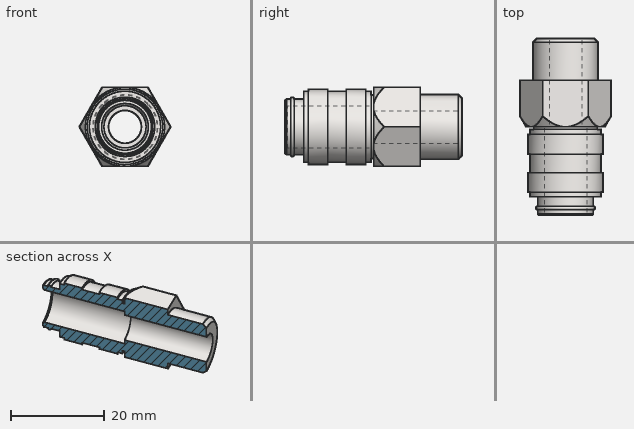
import cadquery as cq
import math

total_length = 38.0

nose_radius = 6.0
nose_chamfer = 0.35
ring_center = 1.6
ring_section_radius = 0.38

sleeve_radius = 7.65
sleeve_start = 4.0
sleeve_end = 18.45
band_radius = 8.1
front_band = (5.0, 9.2)
rear_band = (13.15, 17.35)

neck_radius = 6.85
hex_start = 19.0
hex_end = 29.05
hex_across_flats = 17.0
hex_across_corners = hex_across_flats / math.cos(math.radians(30))
hex_chamfer_angle = 30

spigot_radius = 7.0
spigot_chamfer = 0.85

bore_radius = 3.5
counterbore_radius = 4.52
counterbore_depth = hex_start
mouth_chamfer = 0.5


def cylinder(radius, start, end):
    """Solid cylinder on the Y axis between two Y positions."""
    return cq.Workplane("XZ", origin=(0, start, 0)).circle(radius).extrude(start - end)


def make_nose():
    nose = cylinder(nose_radius, 0, sleeve_start).faces("<Y").chamfer(nose_chamfer)
    ring = (
        cq.Workplane("XY")
        .center(nose_radius, ring_center)
        .circle(ring_section_radius)
        .revolve(360, (-nose_radius, 0), (-nose_radius, 1))
    )
    return nose.union(ring)


def make_sleeve():
    sleeve = cylinder(sleeve_radius, sleeve_start, sleeve_end)
    for start, end in (front_band, rear_band):
        sleeve = sleeve.union(cylinder(band_radius, start, end))
    return sleeve


def make_hexagon():
    """Hexagon with corners on X and a conical chamfer on its front end."""
    hexagon = (
        cq.Workplane("XZ", origin=(0, hex_start, 0))
        .polygon(6, hex_across_corners)
        .extrude(hex_start - hex_end)
    )
    length = hex_end - hex_start
    front_radius = hex_across_flats / 2
    rear_radius = front_radius + length * math.tan(math.radians(hex_chamfer_angle))
    cone = (
        cq.Workplane("XY")
        .polyline([(0, hex_start), (front_radius, hex_start), (rear_radius, hex_end), (0, hex_end)])
        .close()
        .revolve(360, (0, 0), (0, 1))
    )
    return hexagon.intersect(cone)


def make_bore():
    """Through bore, front counterbore and its chamfered mouth."""
    mouth_radius = counterbore_radius + mouth_chamfer
    profile = [
        (0, 0),
        (mouth_radius, 0),
        (counterbore_radius, mouth_chamfer),
        (counterbore_radius, counterbore_depth),
        (bore_radius, counterbore_depth),
        (bore_radius, total_length),
        (0, total_length),
    ]
    return cq.Workplane("XY").polyline(profile).close().revolve(360, (0, 0), (0, 1))


neck = cylinder(neck_radius, sleeve_end, hex_start)
spigot = cylinder(spigot_radius, hex_end, total_length).faces(">Y").chamfer(spigot_chamfer)

result = make_nose().union(make_sleeve()).union(neck).union(make_hexagon()).union(spigot)
result = result.cut(make_bore())